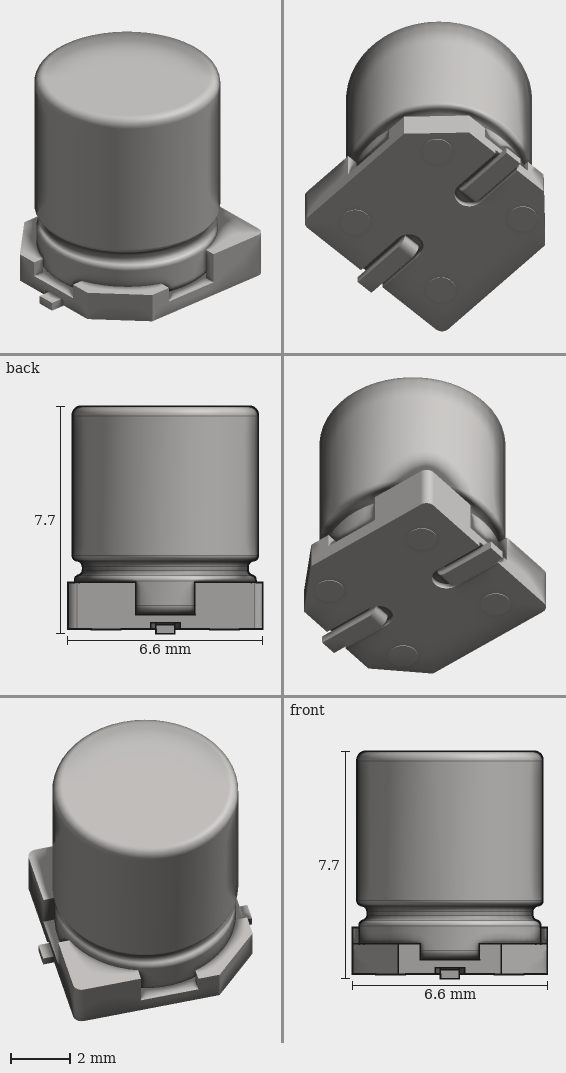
import cadquery as cq
import math


base_side = 6.6
base_bottom_z = 0.155
floor_z = 0.65
front_wall_z = 1.18
rear_wall_z = 1.74
front_chamfer = 1.555
rear_corner_radius = 0.3
notch_width = 2.0
foot_diameter = 1.0
foot_height = 0.02
foot_offset = 2.0

can_diameter = 6.3
can_top_z = 7.7
can_top_radius = 0.315
neck_diameter = 5.605
skirt_diameter = 6.145
bottom_edge_radius = 0.32
skirt_top_z = 1.8
neck_bottom_z = 2.155
neck_top_z = 2.28
can_wall_bottom_z = 2.665

lead_span = 7.3
lead_width = 0.64
lead_thickness = 0.3
lead_inner_bend = 0.04
lead_inner_y = 1.33
slot_width = 1.0
slot_top_z = 0.37

half_side = base_side / 2
can_radius = can_diameter / 2
neck_radius = neck_diameter / 2
skirt_radius = skirt_diameter / 2
lead_leg_outer_y = lead_inner_y + lead_thickness
lead_leg_center_y = lead_inner_y + lead_thickness / 2
FRONT_AND_REAR = (0, 180)


def block(x_size, y_size, bottom_z, top_z, y_center=0.0):
    """Box centred on X, between two heights."""
    height = top_z - bottom_z
    return cq.Workplane("XY").box(x_size, y_size, height).translate((0, y_center, bottom_z + height / 2))


def base_blank():
    """Square block with a high rear half, rounded rear corners and chamfered front corners."""
    blank = block(base_side, base_side, base_bottom_z, front_wall_z)
    rear_half = block(base_side, half_side, front_wall_z, rear_wall_z, half_side / 2)
    blank = blank.union(rear_half)
    blank = blank.edges("|Z and >Y").fillet(rear_corner_radius)
    return blank.edges("|Z and <Y").chamfer(front_chamfer)


def base_feet():
    """Four low round pads under the base."""
    return (
        cq.Workplane("XY", origin=(0, 0, base_bottom_z - foot_height))
        .rect(2 * foot_offset, 2 * foot_offset, forConstruction=True)
        .vertices()
        .circle(foot_diameter / 2)
        .extrude(foot_height)
    )


def lead_slot(turn):
    """Groove under the base, open at its edge and round at its inner end, with a hole for the lead's leg."""
    depth = slot_top_z - base_bottom_z
    run = half_side - lead_leg_center_y
    groove = block(slot_width, run, base_bottom_z, slot_top_z, -(half_side - run / 2))
    round_end = (
        cq.Workplane("XY", origin=(0, -lead_leg_center_y, base_bottom_z))
        .circle(slot_width / 2)
        .extrude(depth)
    )
    leg_hole = block(lead_width, lead_thickness, base_bottom_z, floor_z, -lead_leg_center_y)
    return groove.union(round_end).union(leg_hole).rotate((0, 0, 0), (0, 0, 1), turn)


def make_base():
    """Plastic base with a round seat for the can, four side notches and two lead slots."""
    can_seat = (
        cq.Workplane("XY", origin=(0, 0, floor_z))
        .circle(skirt_radius)
        .extrude(rear_wall_z - floor_z)
    )
    base = base_blank().union(base_feet()).cut(can_seat)
    base = base.cut(block(notch_width, base_side, floor_z, rear_wall_z))
    base = base.cut(block(base_side, notch_width, floor_z, rear_wall_z))
    for turn in FRONT_AND_REAR:
        base = base.cut(lead_slot(turn))
    return base


def s_curve(profile, start, end, first_turn):
    """Two equal tangent arcs between points with vertical tangents.

    first_turn is the side of the first arc's centre along the radius: -1 inward, 1 outward.
    """
    radial_step = end[0] - start[0]
    rise = end[1] - start[1]
    radius = (radial_step**2 + rise**2) / (4 * abs(radial_step))
    sweep = math.asin(rise / 2 / radius)
    sag = radius * (1 - math.cos(sweep / 2))
    half_chord = radius * math.sin(sweep / 2)
    middle = ((start[0] + end[0]) / 2, (start[1] + end[1]) / 2)
    first_mid = (start[0] + first_turn * sag, start[1] + half_chord)
    second_mid = (end[0] - first_turn * sag, end[1] - half_chord)
    return profile.threePointArc(first_mid, middle).threePointArc(second_mid, end)


def can_shell():
    """Revolved can with its crimped neck and rounded rims."""
    neck_bottom = (neck_radius, neck_bottom_z)
    neck_top = (neck_radius, neck_top_z)
    skirt_top = (skirt_radius, skirt_top_z)
    wall_bottom = (can_radius, can_wall_bottom_z)

    profile = cq.Workplane("XZ").moveTo(0, floor_z).lineTo(skirt_radius, floor_z).lineTo(*skirt_top)
    profile = s_curve(profile, skirt_top, neck_bottom, -1).lineTo(*neck_top)
    profile = s_curve(profile, neck_top, wall_bottom, 1)
    profile = profile.lineTo(can_radius, can_top_z).lineTo(0, can_top_z).close()
    shell = profile.revolve(360, (0, 0), (0, 1))
    return shell.faces(">Z").edges().fillet(can_top_radius).faces("<Z").edges().fillet(bottom_edge_radius)


def lead(turn):
    """Flat foot with a leg that rises through the base into the can."""
    outer_bend = lead_inner_bend + lead_thickness
    bend_y = -lead_inner_y - outer_bend
    diagonal = math.sqrt(0.5)
    outer_mid = (bend_y + outer_bend * diagonal, outer_bend * (1 - diagonal))
    inner_mid = (bend_y + lead_inner_bend * diagonal, outer_bend - lead_inner_bend * diagonal)
    outline = (
        cq.Workplane("YZ", origin=(-lead_width / 2, 0, 0))
        .moveTo(-lead_span / 2, 0)
        .lineTo(bend_y, 0)
        .threePointArc(outer_mid, (-lead_inner_y, outer_bend))
        .lineTo(-lead_inner_y, floor_z)
        .lineTo(-lead_leg_outer_y, floor_z)
        .lineTo(-lead_leg_outer_y, outer_bend)
        .threePointArc(inner_mid, (bend_y, lead_thickness))
        .lineTo(-lead_span / 2, lead_thickness)
        .close()
    )
    return outline.extrude(lead_width).rotate((0, 0, 0), (0, 0, 1), turn)


def make_can():
    """Can and its two leads as one solid."""
    can = can_shell()
    for turn in FRONT_AND_REAR:
        can = can.union(lead(turn))
    return can


base = make_base()
can = make_can()
result = cq.Compound.makeCompound([base.val(), can.val()])